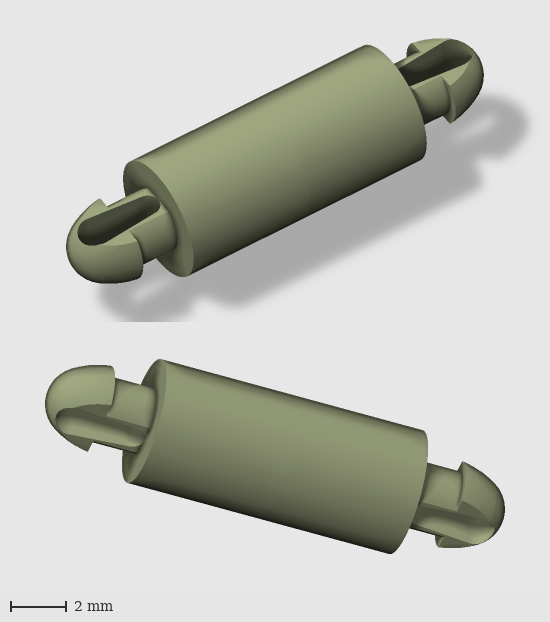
import cadquery as cq
import math

body_diameter = 4.6
body_length = 10.0

clip_height = 3.7
clip_thickness = 2.08
post_radius = 1.225
barb_height = 1.7
barb_radius = 1.6
tip_radius = 1.325
tip_depth = 0.65

slot_base_radius = 0.45
slot_top_radius = 0.65
slot_top_height = 3.34

body_end = body_length / 2
overall_length = body_length + 2 * clip_height


def make_body():
    return cq.Workplane("XZ").circle(body_diameter / 2).extrude(body_end, both=True)


def make_post_and_barb():
    """Post with a barbed head: a spherical tip blending tangentially into flared sides."""
    tip_center = clip_height - tip_radius
    joint_height = clip_height - tip_depth
    joint_rise = joint_height - tip_center
    joint_radius = math.sqrt(tip_radius**2 - joint_rise**2)
    tip_mid_angle = (math.atan2(joint_rise, joint_radius) + math.pi / 2) / 2
    tip_mid = (
        tip_radius * math.cos(tip_mid_angle),
        body_end + tip_center + tip_radius * math.sin(tip_mid_angle),
    )
    profile = (
        cq.Workplane("XY")
        .moveTo(0, body_end)
        .lineTo(0, body_end + clip_height)
        .threePointArc(tip_mid, (joint_radius, body_end + joint_height))
        .tangentArcPoint((barb_radius, body_end + barb_height), relative=False)
        .lineTo(post_radius, body_end + barb_height)
        .lineTo(post_radius, body_end)
        .close()
    )
    return profile.revolve(360, (0, 0, 0), (0, 1, 0))


def make_slot():
    """Slot through the clip: two round ends joined by their common tangent lines."""
    base_center = body_end + slot_base_radius
    top_center = body_end + slot_top_height - slot_top_radius
    taper = math.asin((slot_top_radius - slot_base_radius) / (top_center - base_center))
    base_x = slot_base_radius * math.cos(taper)
    base_y = base_center - slot_base_radius * math.sin(taper)
    top_x = slot_top_radius * math.cos(taper)
    top_y = top_center - slot_top_radius * math.sin(taper)
    return (
        cq.Workplane("XY")
        .moveTo(base_x, base_y)
        .lineTo(top_x, top_y)
        .threePointArc((0, body_end + slot_top_height), (-top_x, top_y))
        .lineTo(-base_x, base_y)
        .threePointArc((0, body_end), (base_x, base_y))
        .close()
        .extrude(clip_thickness, both=True)
    )


def make_clip():
    """Clip on the +Y end, trimmed to two flat faces and split by the slot."""
    flat_slab = cq.Workplane("XY").box(body_diameter, overall_length, clip_thickness)
    return make_post_and_barb().intersect(flat_slab).cut(make_slot())


clip = make_clip()
result = make_body().union(clip).union(clip.mirror("XZ"))